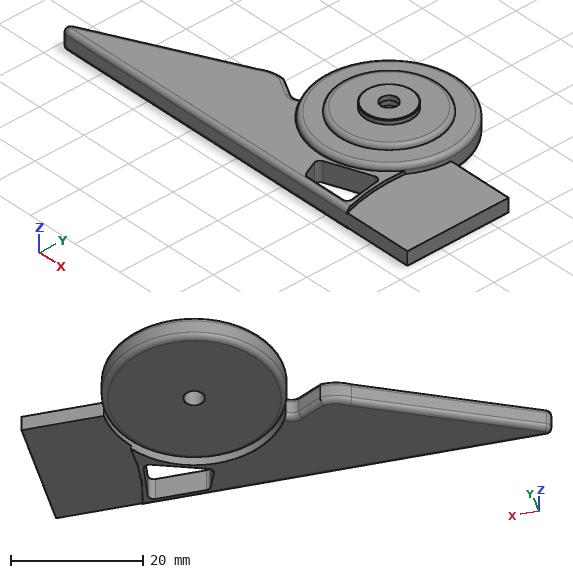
import cadquery as cq
import math


DISC_DIAMETER = 28.0
BOSS_DIAMETER = 20.0
HUB_DIAMETER = 9.5
BORE_DIAMETER = 3.25
DISC_BOTTOM = 0.9
DISC_TOP = 5.05
BOSS_TOP = 6.0
HUB_TOP = 6.9
HUB_EDGE_CHAMFER = 0.15
EDGE_RADIUS = 0.9
BOSS_EDGE_RADIUS = 0.85
WHEEL_CLEARANCE = 0.15

LENGTH = 77.55
TIP_X = -50.6
TANG_END_X = TIP_X + LENGTH
OVERALL_WIDTH = 34.8
BASE_Y = DISC_DIAMETER / 2 - OVERALL_WIDTH
BLADE_THICKNESS = 4.0
TANG_THICKNESS = 2.7
TANG_TOP_Y = -0.15
TIP_RADIUS = 1.0

RAMP_END = (-23.0, -5.75)
CREST_MIDDLE = (-20.8, -4.7)
CREST_END = (-18.45, -4.6)
SLOPE_END = (-14.5, -6.75)
HOLLOW_MIDDLE = (-13.6, -6.9)
HOLLOW_END = (-12.6, -6.35)

STEP_TOP = (11.95, -7.1)
STEP_MIDDLE = (12.2, -15.1)
STEP_BOTTOM = (13.5, BASE_Y)

WINDOW_CORNERS = [(0.8, -15.4), (2.6, -19.6), (12.25, -19.6), (11.0, -11.55)]
WINDOW_RADIUS = 0.9


def make_rounded_blade():
    """Blade with rounded rims, running on past the step and into the wheel space."""
    center_x = TIP_X + TIP_RADIUS
    center_y = BASE_Y + TIP_RADIUS
    ramp_x = RAMP_END[0] - center_x
    ramp_y = RAMP_END[1] - center_y
    tangent_angle = math.atan2(ramp_y, ramp_x) + math.acos(TIP_RADIUS / math.hypot(ramp_x, ramp_y))
    ramp_start = (
        center_x + TIP_RADIUS * math.cos(tangent_angle),
        center_y + TIP_RADIUS * math.sin(tangent_angle),
    )
    inner_x = STEP_BOTTOM[0] + 2 * EDGE_RADIUS
    blade = (
        cq.Workplane("XY")
        .moveTo(center_x, BASE_Y)
        .threePointArc((TIP_X, center_y), ramp_start)
        .lineTo(*RAMP_END)
        .threePointArc(CREST_MIDDLE, CREST_END)
        .lineTo(*SLOPE_END)
        .threePointArc(HOLLOW_MIDDLE, HOLLOW_END)
        .lineTo(0, 0)
        .lineTo(inner_x, 0)
        .lineTo(inner_x, BASE_Y)
        .close()
        .extrude(BLADE_THICKNESS)
    )
    return blade.faces("<Z or >Z").edges().fillet(EDGE_RADIUS)


def make_step_region():
    """Everything on the blade side of the curved step."""
    return (
        cq.Workplane("XY")
        .moveTo(TIP_X, BASE_Y)
        .lineTo(*STEP_BOTTOM)
        .threePointArc(STEP_MIDDLE, STEP_TOP)
        .lineTo(0, 0)
        .lineTo(TIP_X, 0)
        .close()
        .extrude(BLADE_THICKNESS)
    )


def make_tang():
    """Thin plate centred in the blade thickness, starting inside the blade."""
    start_x = WINDOW_CORNERS[-1][0]
    return (
        cq.Workplane("XY", origin=(0, 0, (BLADE_THICKNESS - TANG_THICKNESS) / 2))
        .moveTo(start_x, BASE_Y + EDGE_RADIUS)
        .lineTo(*STEP_BOTTOM)
        .lineTo(TANG_END_X, BASE_Y)
        .lineTo(TANG_END_X, TANG_TOP_Y)
        .lineTo(start_x, TANG_TOP_Y)
        .close()
        .extrude(TANG_THICKNESS)
    )


def make_window():
    window = cq.Workplane("XY").polyline(WINDOW_CORNERS).close().extrude(BLADE_THICKNESS)
    return window.edges("|Z").fillet(WINDOW_RADIUS)


def make_blade():
    wheel_space = cq.Workplane("XY").circle(DISC_DIAMETER / 2 + WHEEL_CLEARANCE).extrude(BLADE_THICKNESS)
    blade = make_rounded_blade().intersect(make_step_region())
    return blade.union(make_tang()).cut(wheel_space).cut(make_window())


def make_ring(diameter, bottom, top):
    """Flat ring around the bore."""
    return (
        cq.Workplane("XY", origin=(0, 0, bottom))
        .circle(diameter / 2)
        .circle(BORE_DIAMETER / 2)
        .extrude(top - bottom)
    )


def outer_rims(ring, diameter, faces):
    """Rims of the given flat faces, without the rim of the bore."""
    rims = ring.faces(faces).edges("%CIRCLE")
    return rims.filter(lambda edge: edge.radius() > (diameter + BORE_DIAMETER) / 4)


def make_disc():
    disc = make_ring(DISC_DIAMETER, DISC_BOTTOM, DISC_TOP)
    return outer_rims(disc, DISC_DIAMETER, "<Z or >Z").fillet(EDGE_RADIUS)


def make_boss():
    boss = make_ring(BOSS_DIAMETER, DISC_TOP, BOSS_TOP)
    return outer_rims(boss, BOSS_DIAMETER, ">Z").fillet(BOSS_EDGE_RADIUS)


def make_hub():
    hub = make_ring(HUB_DIAMETER, BOSS_TOP, HUB_TOP)
    return outer_rims(hub, HUB_DIAMETER, ">Z").chamfer(HUB_EDGE_CHAMFER)


blade = make_blade()
disc = make_disc()
boss = make_boss()
hub = make_hub()

result = cq.Compound.makeCompound([blade.val(), disc.val(), boss.val(), hub.val()])